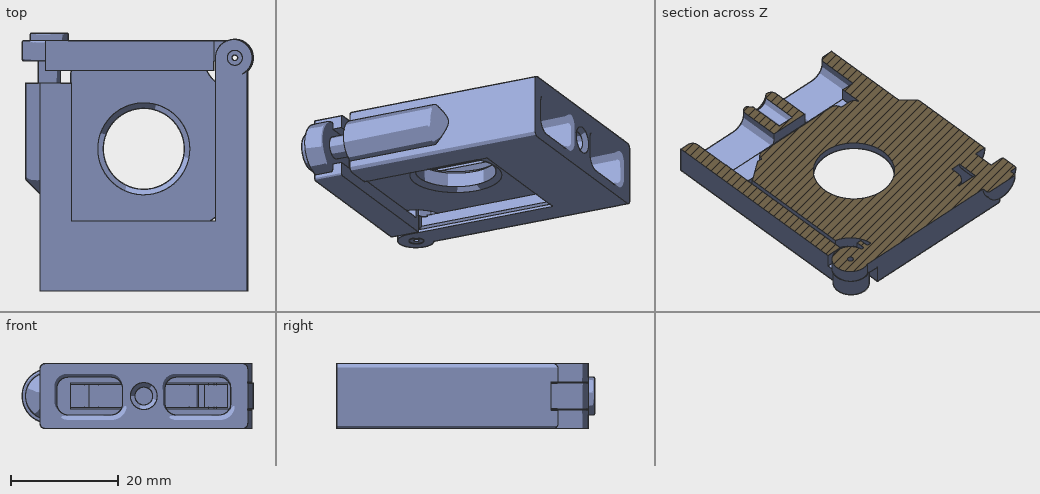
import cadquery as cq

TOTAL_LENGTH = 47.92
THICKNESS = 12.1
HALF_THICKNESS = THICKNESS / 2
BODY_WIDTH = 38.6
BODY_SIDE = BODY_WIDTH / 2
BODY_FRONT = -26.42
ARM_END = 12.2
EDGE_RADIUS = 1.0

WINDOW_LEFT = -13.4
WINDOW_RIGHT = 13.3
WINDOW_FRONT = -13.4
UNDERCUT = 1.1
UNDERCUT_TOP = 5.5

SLOT_LEFT = -13.6
SLOT_RIGHT = 16.1
SLOT_HEIGHT = 4.8

PLATE_THICKNESS = 4.2
PLATE_LEFT = SLOT_LEFT
PLATE_RIGHT = 15.5
PLATE_FRONT = -14.2
PLATE_BACK = 16.3
PLATE_ROUND = 1.3
PLATE_BACK_ROUND = 2.6
PLATE_BEVEL_X = 11.25
PLATE_BEVEL_Y = -11.1
TONGUE_SIDE = 10.2
TONGUE_LENGTH = 1.3
HINGE_CLEARANCE_RADIUS = 5.7

APERTURE_RADIUS = 7.5
APERTURE_RIM_RADIUS = 8.55
APERTURE_CHAMFER_DEPTH = 0.75

POCKET_OFFSET = 10.05
POCKET_LENGTH = 12.2
POCKET_HEIGHT = 7.0
POCKET_CORNER_RADIUS = 2.1
POCKET_LIP_RADIUS = 1.2
POCKET_DEPTH = 9.0
SCREW_HOLE_RADIUS = 1.65
SCREW_RIM_RADIUS = 2.5
SCREW_HOLE_DEPTH = 8.0

HINGE_X = 16.9
HINGE_Y = 16.9
EAR_RADIUS = 3.4
EAR_X = WINDOW_RIGHT + EAR_RADIUS
KNUCKLE_RADIUS = 3.46
KNUCKLE_HEIGHT = 4.8
KNUCKLE_GAP = 0.2
EAR_GAP_FRONT = 13.4
PIN_RECESS_RADIUS = 1.4
PIN_RECESS_DEPTH = 0.15
PIN_BORE_RADIUS = 0.5

LEVER_LEFT = -18.3
LEVER_RIGHT = 13.0
LEVER_FRONT = 14.5
LEVER_BACK = 20.1
LEVER_END_ROUND = 0.5
LEVER_SLOT_HEIGHT = 7.0
LEVER_SLOT_END = 12.0

SCREW_X = -17.55
ROD_RADIUS = 2.1
BOSS_RADIUS = 4.41
BOSS_SHOULDER = -5.7
BOSS_SHOULDER_ROUND = 0.7
KNOB_RADIUS = 5.07
KNOB_FRONT = PLATE_BACK
KNOB_BACK = LEVER_BACK
KNOB_ROUND = 0.4
CAP_RADIUS = 3.55
CAP_BACK = BODY_FRONT + TOTAL_LENGTH
CAP_ROUND = 0.35

PICK_MARGIN = 0.1


def block(x0, x1, y0, y1, half_height):
    """Box between two X and two Y limits, centred on the mid plane."""
    return (
        cq.Workplane("XY")
        .box(x1 - x0, y1 - y0, 2 * half_height)
        .translate(((x0 + x1) / 2, (y0 + y1) / 2, 0))
    )


def upright(x, y, radius, half_height):
    """Cylinder along Z, centred on the mid plane."""
    return cq.Workplane("XY").center(x, y).circle(radius).extrude(half_height, both=True)


def rod(x, radius, y0, y1):
    """Cylinder along Y between two Y limits."""
    return cq.Workplane("XZ", origin=(x, y0, 0)).circle(radius).extrude(y0 - y1)


def screw_boss():
    """Cylinder on the left side with a 45 degree conical front end and a rounded shoulder."""
    profile = cq.Workplane("XY").polyline([
        (SCREW_X, ARM_END),
        (SCREW_X - BOSS_RADIUS, ARM_END),
        (SCREW_X - BOSS_RADIUS, BOSS_SHOULDER),
        (SCREW_X, BOSS_SHOULDER - BOSS_RADIUS),
    ]).close()
    boss = profile.revolve(360, (SCREW_X, 0, 0), (SCREW_X, 1, 0))
    shoulder = cq.selectors.BoxSelector(
        (SCREW_X - 2 * BOSS_RADIUS, BOSS_SHOULDER - PICK_MARGIN, -2 * BOSS_RADIUS),
        (SCREW_X + 2 * BOSS_RADIUS, BOSS_SHOULDER + PICK_MARGIN, 2 * BOSS_RADIUS),
    )
    return boss.edges("%CIRCLE").edges(shoulder).fillet(BOSS_SHOULDER_ROUND)


def body_block():
    """Rounded block with a short left arm, a long right arm with a hinge ear, and the screw boss."""
    body = block(-BODY_SIDE, BODY_SIDE, BODY_FRONT, HINGE_Y, HALF_THICKNESS)
    body = body.edges("|Y").fillet(EDGE_RADIUS)
    open_end = block(-BODY_SIDE, WINDOW_RIGHT, ARM_END, HINGE_Y, HALF_THICKNESS)
    ear = upright(EAR_X, HINGE_Y, EAR_RADIUS, HALF_THICKNESS)
    return body.cut(open_end).union(ear).union(screw_boss())


def cut_window(body):
    """Opening for the plate; its right wall is undercut with a 45 degree slope."""
    undercut_low = UNDERCUT_TOP - UNDERCUT
    section = cq.Workplane("XZ", origin=(0, WINDOW_FRONT, 0)).polyline([
        (WINDOW_LEFT, -HALF_THICKNESS),
        (WINDOW_RIGHT, -HALF_THICKNESS),
        (WINDOW_RIGHT, -UNDERCUT_TOP),
        (WINDOW_RIGHT + UNDERCUT, -undercut_low),
        (WINDOW_RIGHT + UNDERCUT, undercut_low),
        (WINDOW_RIGHT, UNDERCUT_TOP),
        (WINDOW_RIGHT, HALF_THICKNESS),
        (WINDOW_LEFT, HALF_THICKNESS),
    ]).close()
    return body.cut(section.extrude(WINDOW_FRONT - LEVER_FRONT))


def cut_slot(body):
    """Slot for the plate edges, open to the pockets, and the gap between the hinge ears."""
    slot_front = BODY_FRONT + POCKET_DEPTH
    slot = block(SLOT_LEFT, SLOT_RIGHT, slot_front, LEVER_FRONT, SLOT_HEIGHT / 2)
    ear_gap = block(
        WINDOW_RIGHT, HINGE_X + 2 * KNUCKLE_RADIUS,
        EAR_GAP_FRONT, HINGE_Y + 2 * KNUCKLE_RADIUS,
        KNUCKLE_HEIGHT / 2 + KNUCKLE_GAP,
    )
    return body.cut(slot).cut(ear_gap)


def aperture_plate():
    """Plate with a rounded front tongue, a bevelled corner and clearance around the hinge."""
    half = PLATE_THICKNESS / 2
    outline = cq.Workplane("XY", origin=(0, 0, -half)).polyline([
        (PLATE_LEFT, PLATE_FRONT),
        (PLATE_BEVEL_X, PLATE_FRONT),
        (PLATE_RIGHT, PLATE_BEVEL_Y),
        (PLATE_RIGHT, PLATE_BACK),
        (PLATE_LEFT, PLATE_BACK),
    ]).close()
    plate = outline.extrude(PLATE_THICKNESS)
    plate = plate.edges("|Z and <X and <Y").fillet(PLATE_ROUND)
    plate = plate.edges("|Z and <X and >Y").fillet(PLATE_BACK_ROUND)
    tongue = block(-TONGUE_SIDE, TONGUE_SIDE, PLATE_FRONT - TONGUE_LENGTH, 0, half)
    tongue = tongue.edges("|Z and <Y").fillet(PLATE_ROUND)
    plate = plate.union(tongue)
    plate = plate.cut(upright(HINGE_X, HINGE_Y, HINGE_CLEARANCE_RADIUS, half))
    return cut_aperture(plate)


def cut_aperture(plate):
    """Round light opening, chamfered on both faces of the plate."""
    half = PLATE_THICKNESS / 2
    straight = half - APERTURE_CHAMFER_DEPTH
    profile = cq.Workplane("XZ").polyline([
        (0, -half),
        (APERTURE_RIM_RADIUS, -half),
        (APERTURE_RADIUS, -straight),
        (APERTURE_RADIUS, straight),
        (APERTURE_RIM_RADIUS, half),
        (0, half),
    ]).close()
    return plate.cut(profile.revolve(360, (0, 0, 0), (0, 1, 0)))


def cut_front_pockets(body):
    """Two rounded pockets with soft lips in the front face."""
    for side in (-1, 1):
        x = side * POCKET_OFFSET
        pocket = (
            cq.Workplane("XZ", origin=(x, BODY_FRONT, 0))
            .rect(POCKET_LENGTH, POCKET_HEIGHT)
            .extrude(-POCKET_DEPTH)
            .edges("|Y")
            .fillet(POCKET_CORNER_RADIUS)
        )
        body = body.cut(pocket)
        mouth = cq.selectors.BoxSelector(
            (x - POCKET_LENGTH / 2 - PICK_MARGIN, BODY_FRONT - PICK_MARGIN, -POCKET_HEIGHT),
            (x + POCKET_LENGTH / 2 + PICK_MARGIN, BODY_FRONT + PICK_MARGIN, POCKET_HEIGHT),
        )
        body = body.faces("<Y").edges(mouth).fillet(POCKET_LIP_RADIUS)
    return body


def cut_screw_hole(body):
    """Countersunk hole between the pockets."""
    rim = SCREW_RIM_RADIUS - SCREW_HOLE_RADIUS
    profile = cq.Workplane("XY").polyline([
        (0, BODY_FRONT),
        (SCREW_RIM_RADIUS, BODY_FRONT),
        (SCREW_HOLE_RADIUS, BODY_FRONT + rim),
        (SCREW_HOLE_RADIUS, BODY_FRONT + SCREW_HOLE_DEPTH),
        (0, BODY_FRONT + SCREW_HOLE_DEPTH),
    ]).close()
    return body.cut(profile.revolve(360, (0, 0, 0), (0, 1, 0)))


def lever():
    """Bar across the open end, slotted for the plate and rod, with the middle hinge knuckle."""
    bar = block(LEVER_LEFT, LEVER_RIGHT, LEVER_FRONT, LEVER_BACK, HALF_THICKNESS)
    bar = bar.edges("|Y and <X").fillet(LEVER_END_ROUND)
    slot = block(LEVER_LEFT, LEVER_SLOT_END, LEVER_FRONT, KNOB_FRONT, LEVER_SLOT_HEIGHT / 2)
    tongue = block(LEVER_RIGHT, HINGE_X, KNOB_FRONT, LEVER_BACK, KNUCKLE_HEIGHT / 2)
    knuckle = upright(HINGE_X, HINGE_Y, KNUCKLE_RADIUS, KNUCKLE_HEIGHT / 2)
    return bar.cut(slot).union(tongue).union(knuckle)


def hinge_pin():
    """Pin filling the hinge over the full thickness."""
    return upright(HINGE_X, HINGE_Y, PIN_RECESS_RADIUS, HALF_THICKNESS)


def cut_pin_bore(part):
    """Bore through the pin with a shallow recess at each end."""
    part = part.cut(upright(HINGE_X, HINGE_Y, PIN_BORE_RADIUS, HALF_THICKNESS))
    recess = upright(HINGE_X, HINGE_Y, PIN_RECESS_RADIUS, PIN_RECESS_DEPTH)
    for side in (1, -1):
        part = part.cut(recess.translate((0, 0, side * HALF_THICKNESS)))
    return part


def thumbscrew():
    """Rod, rounded knob and rounded cap on one axis."""
    shaft = rod(SCREW_X, ROD_RADIUS, ARM_END, KNOB_FRONT)
    knob = rod(SCREW_X, KNOB_RADIUS, KNOB_FRONT, KNOB_BACK).edges().fillet(KNOB_ROUND)
    cap = rod(SCREW_X, CAP_RADIUS, KNOB_BACK, CAP_BACK).faces(">Y").edges().fillet(CAP_ROUND)
    return shaft.union(knob).union(cap)


body = cut_window(body_block())
body = cut_front_pockets(body)
body = cut_screw_hole(body)
body = cut_slot(body)
assembly = body.union(aperture_plate()).union(lever()).union(hinge_pin()).union(thumbscrew())
result = cut_pin_bore(assembly)